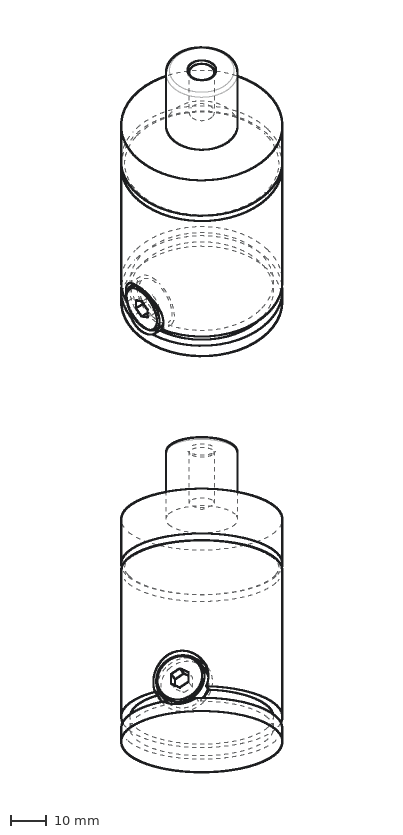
import cadquery as cq
import math

body_radius = 22.5
body_height = 67.0
total_height = 88.0

foot_thickness = 4.0
clamp_groove_width = 3.5
clamp_groove_radius = 20.0

ring_groove_z = 52.5
ring_groove_radius = 1.0

rod_radius = 10.0
rod_edge_radius = 1.0
hole_diameter = 7.0
hole_mouth_diameter = 8.0
hole_mouth_depth = 0.8
hole_depth = 16.0
drill_point_angle = 118.0

plug_z = 10.5
pocket_diameter = 16.0
pocket_floor_distance = 17.0
plug_diameter = 14.0
plug_face_distance = 22.1
plug_chamfer = 0.5
hex_across_flats = 5.0
hex_depth = 4.0


def make_body():
    """Revolve the body and rod together, with both outer grooves."""
    clamp_groove_top = foot_thickness + clamp_groove_width
    ring_groove_bottom = ring_groove_z - ring_groove_radius
    ring_groove_top = ring_groove_z + ring_groove_radius
    profile = (
        cq.Workplane("XZ")
        .lineTo(body_radius, 0)
        .lineTo(body_radius, foot_thickness)
        .lineTo(clamp_groove_radius, foot_thickness)
        .lineTo(clamp_groove_radius, clamp_groove_top)
        .lineTo(body_radius, clamp_groove_top)
        .lineTo(body_radius, ring_groove_bottom)
        .threePointArc(
            (body_radius - ring_groove_radius, ring_groove_z),
            (body_radius, ring_groove_top),
        )
        .lineTo(body_radius, body_height)
        .lineTo(rod_radius, body_height)
        .lineTo(rod_radius, total_height)
        .lineTo(0, total_height)
        .close()
    )
    body = profile.revolve(360, (0, 0), (0, 1))
    return body.faces(">Z").edges().fillet(rod_edge_radius)


def make_rod_hole():
    """Blind hole with a chamfered mouth and a conical drill point."""
    hole_radius = hole_diameter / 2
    mouth_radius = hole_mouth_diameter / 2
    point_height = hole_radius / math.tan(math.radians(drill_point_angle / 2))
    floor_z = total_height - hole_depth
    profile = (
        cq.Workplane("XZ")
        .moveTo(0, total_height)
        .lineTo(mouth_radius, total_height)
        .lineTo(hole_radius, total_height - hole_mouth_depth)
        .lineTo(hole_radius, floor_z)
        .lineTo(0, floor_z - point_height)
        .close()
    )
    return profile.revolve(360, (0, 0), (0, 1))


def plug_plane(distance):
    """Plane facing -Y, centred on the plug axis at a distance from the body axis."""
    return cq.Workplane("XZ", origin=(0, -distance, plug_z))


def make_pocket():
    """Round pocket from its floor out past the body surface."""
    return plug_plane(pocket_floor_distance).circle(pocket_diameter / 2).extrude(body_radius)


def make_plug():
    """Chamfered plug with a hexagon socket, its corners pointing up and down."""
    plug_height = plug_face_distance - pocket_floor_distance
    plug = plug_plane(pocket_floor_distance).circle(plug_diameter / 2).extrude(plug_height)
    plug = plug.faces("<Y").edges().chamfer(plug_chamfer)
    hex_across_corners = hex_across_flats / math.cos(math.pi / 6)
    socket = (
        plug_plane(plug_face_distance)
        .transformed(rotate=(0, 0, 90))
        .polygon(6, hex_across_corners)
        .extrude(-hex_depth)
    )
    return plug.cut(socket)


result = make_body().cut(make_rod_hole()).cut(make_pocket()).union(make_plug())